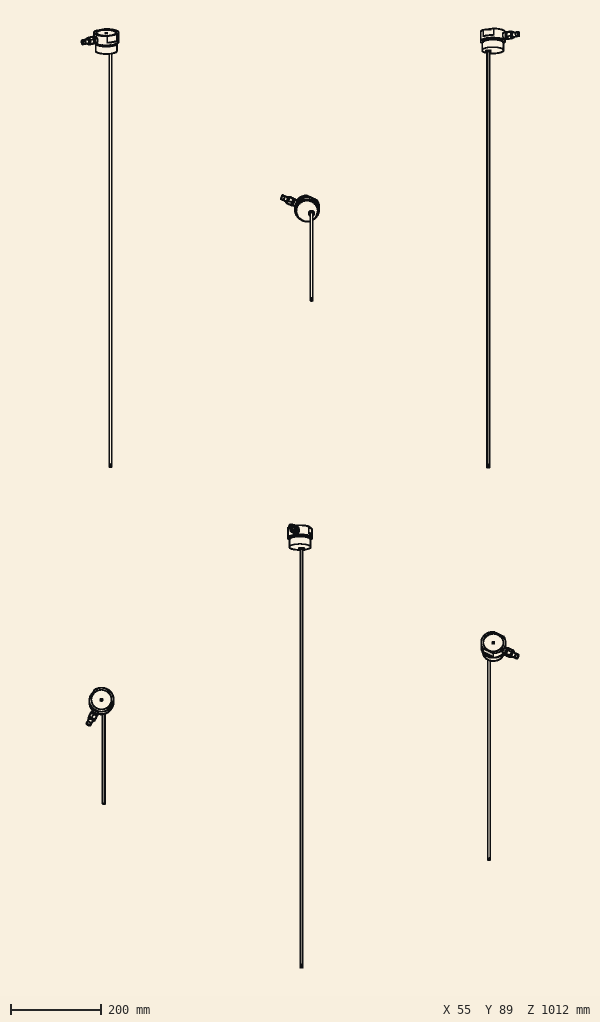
import cadquery as cq

total_height = 1012.0
cap_height = 21.0
head_height = 42.0
groove_height = 2.0
cap_bottom = total_height - cap_height
head_bottom = total_height - head_height

cap_diameter = 55.0
base_diameter = 48.0
base_chamfer = 2.0
groove_diameter = 45.0
lid_diameter = 45.0
lid_recess_depth = 1.0
flat_spacing = 49.0
flat_height = 15.0
center_hole_diameter = 5.0
center_hole_depth = 3.0

gland_drop = 12.0
gland_z = total_height - gland_drop
neck_diameter = 14.0
neck_length = 5.0
hex_flats = 15.0
locknut_length = 1.0
thread_diameter = 14.0
thread_length = 3.0
nut_length = 9.0
nut_collar_diameter = 14.0
nut_collar_length = 3.0
tail_diameter = 10.0
tail_length = 13.0
tail_bore_diameter = 6.5
tail_bore_depth = 6.0

probe_y = 11.0
rod_diameter = 6.0
collar_diameter = 12.0
collar_height = 3.0
tip_height = 3.0
tip_groove_diameter = 5.0
tip_groove_height = 3.0


def disk(diameter, height, bottom, y=0):
    """Upright cylinder standing on the given level."""
    return cq.Workplane("XY", origin=(0, y, bottom)).circle(diameter / 2).extrude(height)


def make_cap():
    """Round cap with a flat on each X side, a shallow round recess on top and a center hole."""
    cap = disk(cap_diameter, cap_height, cap_bottom)
    flat_band = cq.Workplane("XY", origin=(0, 0, total_height - flat_height))
    outside_flats = (
        flat_band.rect(2 * cap_diameter, 2 * cap_diameter)
        .rect(flat_spacing, 2 * cap_diameter)
        .extrude(flat_height)
    )
    lid_level = total_height - lid_recess_depth
    lid_recess = disk(lid_diameter, lid_recess_depth, lid_level)
    center_hole = disk(center_hole_diameter, center_hole_depth, lid_level - center_hole_depth)
    return cap.cut(outside_flats).cut(lid_recess).cut(center_hole)


def make_base():
    """Round base, chamfered at the top and joined to the cap through a narrower groove."""
    base_top = cap_bottom - groove_height
    groove = disk(groove_diameter, groove_height, base_top)
    base = disk(base_diameter, base_top - head_bottom, head_bottom)
    return base.faces(">Z").edges().chamfer(base_chamfer).union(groove)


def make_gland():
    """Neck, locknut, thread, nut with a round collar, and bored tail in a row along -Y."""

    def section_plane(start):
        return cq.Workplane("XZ", origin=(0, -start, gland_z))

    def round_section(diameter, start, length):
        return section_plane(start).circle(diameter / 2).extrude(length)

    def hex_section(start, length):
        return section_plane(start).polygon(6, hex_flats, circumscribed=True).extrude(length)

    cap_radius = cap_diameter / 2
    locknut_start = cap_radius + neck_length
    thread_start = locknut_start + locknut_length
    nut_start = thread_start + thread_length
    nut_collar_start = nut_start + nut_length
    tail_start = nut_collar_start + nut_collar_length
    bore_start = tail_start + tail_length - tail_bore_depth

    neck_start = cap_radius - neck_length
    gland = round_section(neck_diameter, neck_start, locknut_start - neck_start)
    gland = gland.union(hex_section(locknut_start, locknut_length))
    gland = gland.union(round_section(thread_diameter, thread_start, thread_length))
    gland = gland.union(hex_section(nut_start, nut_length))
    gland = gland.union(round_section(nut_collar_diameter, nut_collar_start, nut_collar_length))
    gland = gland.union(round_section(tail_diameter, tail_start, tail_length))
    return gland.cut(round_section(tail_bore_diameter, bore_start, tail_bore_depth))


def make_head():
    return make_cap().union(make_base()).union(make_gland())


def make_probe():
    """Long rod with a collar against the head and a ring groove just above the tip."""
    collar = disk(collar_diameter, collar_height, head_bottom - collar_height, probe_y)
    rod = disk(rod_diameter, head_bottom, 0, probe_y)
    tip_groove = (
        cq.Workplane("XY", origin=(0, probe_y, tip_height))
        .circle(rod_diameter / 2)
        .circle(tip_groove_diameter / 2)
        .extrude(tip_groove_height)
    )
    return rod.cut(tip_groove).union(collar)


head = make_head()
probe = make_probe()

result = cq.Compound.makeCompound([head.val(), probe.val()])